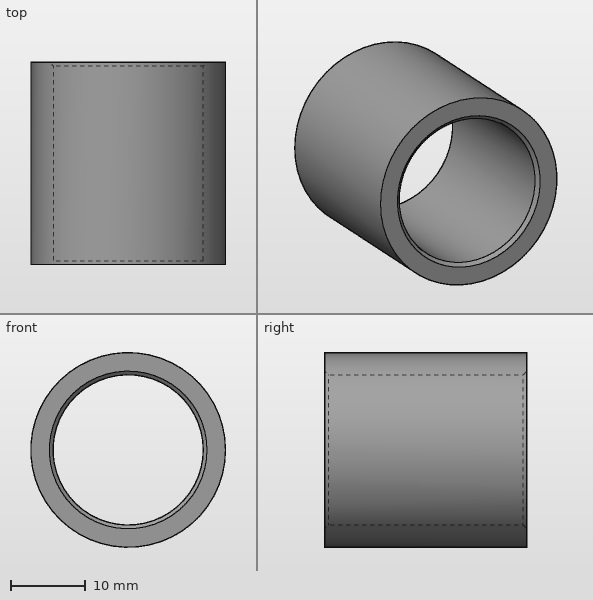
import cadquery as cq

length = 27.0
outer_diameter = 26.0
bore_diameter = 20.0
bore_chamfer = 0.5

sleeve = (
    cq.Workplane("XZ", origin=(0, length / 2, 0))
    .circle(outer_diameter / 2)
    .circle(bore_diameter / 2)
    .extrude(length)
)

mid_wall_radius = (outer_diameter + bore_diameter) / 4
bore_edges = sleeve.edges("%CIRCLE").filter(lambda edge: edge.radius() < mid_wall_radius)
result = bore_edges.chamfer(bore_chamfer)